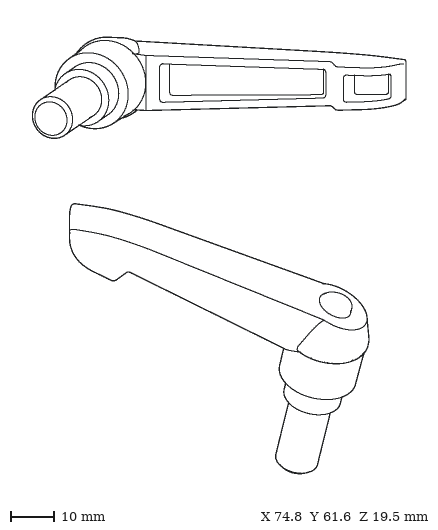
import cadquery as cq
import math


STUD_RADIUS = 5.0
STUD_LENGTH = 20.0
STUD_CHAMFER = 1.0
BUSH_RADIUS = 6.75
BUSH_LENGTH = 6.5
BARREL_BOTTOM_RADIUS = 9.1
BARREL_TOP_RADIUS = 9.3
BARREL_HEIGHT = 10.9
COLLAR_RADIUS = 9.75
COLLAR_FILLET = 0.8
COLLAR_HEIGHT = 1.5
CONE_ANGLE = math.radians(15)
CONE_HEIGHT = 12.0
PIN_RADIUS = 4.0
PIN_TOP = 22.0
PIN_FILLET = 0.9

HANDLE_TIP_X = 65.0
HANDLE_TOP_Y = 35.05
TOP_ANGLE = math.radians(15)
TOP_Y_AT_AXIS = 20.66
CREST_START_X = 44.0
CREST_RADIUS = 100.0
CREST_DROP = 0.55
UNDERSIDE_ANGLE = math.radians(20)
UNDERSIDE_START_X = 9.4
UNDERSIDE_LENGTH = 42.9
HOOK_LENGTH = 5.9
HOOK_RADIUS = 10.8
TIP_FILLET = 1.0
INNER_HOOK_FILLET = 0.7
OUTER_HOOK_FILLET = 1.1

HALF_WIDTH_AT_AXIS = 6.93
HALF_WIDTH_AT_TIP = 4.8
TIP_CORNER_RADIUS = 0.8

POCKET_WALL = 1.95
POCKET_CORNER_RADIUS = 0.7
POCKET_ROOF = 5.3
POCKET_END_TILT = math.radians(30)
MAIN_POCKET_START_X = 12.35
MAIN_POCKET_FLOOR_END_X = 47.0
HOOK_POCKET_START_X = 53.9
HOOK_POCKET_FLOOR_END_X = 61.6


def arc_point(center, radius, angle):
    return (center[0] + radius * math.cos(angle), center[1] + radius * math.sin(angle))


def step_along_underside(point, length):
    """Move from a point parallel to the handle's underside."""
    return arc_point(point, length, UNDERSIDE_ANGLE)


def top_face_y(x):
    return TOP_Y_AT_AXIS + x * math.tan(TOP_ANGLE)


HOOK_CENTER = (HANDLE_TIP_X - HOOK_RADIUS, HANDLE_TOP_Y - TIP_FILLET)
HOOK_ARC_START_ANGLE = UNDERSIDE_ANGLE - math.pi / 2
HOOK_ARC_START = arc_point(HOOK_CENTER, HOOK_RADIUS, HOOK_ARC_START_ANGLE)
UNDERSIDE_START = (UNDERSIDE_START_X, BARREL_HEIGHT)
INNER_HOOK_CORNER = step_along_underside(UNDERSIDE_START, UNDERSIDE_LENGTH)
OUTER_HOOK_CORNER = step_along_underside(HOOK_ARC_START, -HOOK_LENGTH)


def hub_base():
    """Stud, bush and slightly tapered barrel as one turned body."""
    stud_end = -BUSH_LENGTH - STUD_LENGTH
    return (
        cq.Workplane("XY")
        .moveTo(0, stud_end)
        .lineTo(STUD_RADIUS - STUD_CHAMFER, stud_end)
        .lineTo(STUD_RADIUS, stud_end + STUD_CHAMFER)
        .lineTo(STUD_RADIUS, -BUSH_LENGTH)
        .lineTo(BUSH_RADIUS, -BUSH_LENGTH)
        .lineTo(BUSH_RADIUS, 0)
        .lineTo(BARREL_BOTTOM_RADIUS, 0)
        .lineTo(BARREL_TOP_RADIUS, BARREL_HEIGHT)
        .lineTo(0, BARREL_HEIGHT)
        .close()
        .revolve(360, (0, 0), (0, 1))
    )


def conical_head():
    """Rounded collar and cone, trimmed by the handle's sloping top plane."""
    collar_top = BARREL_HEIGHT + COLLAR_HEIGHT
    cone_top = collar_top + CONE_HEIGHT
    cone_top_radius = COLLAR_RADIUS - CONE_HEIGHT * math.tan(CONE_ANGLE)
    fillet_center = (COLLAR_RADIUS - COLLAR_FILLET, BARREL_HEIGHT + COLLAR_FILLET)
    head = (
        cq.Workplane("XY")
        .moveTo(0, BARREL_HEIGHT)
        .lineTo(fillet_center[0], BARREL_HEIGHT)
        .threePointArc(
            arc_point(fillet_center, COLLAR_FILLET, -math.pi / 4),
            (COLLAR_RADIUS, fillet_center[1]),
        )
        .lineTo(COLLAR_RADIUS, collar_top)
        .lineTo(cone_top_radius, cone_top)
        .lineTo(0, cone_top)
        .close()
        .revolve(360, (0, 0), (0, 1))
    )
    reach = 2 * COLLAR_RADIUS
    below_top_plane = (
        cq.Workplane("XY")
        .polyline([(-reach, 0), (reach, 0), (reach, top_face_y(reach)), (-reach, top_face_y(-reach))])
        .close()
        .extrude(reach, both=True)
    )
    return head.intersect(below_top_plane)


def pin():
    """Round screw head standing out of the sloping top face."""
    return (
        cq.Workplane("XZ", origin=(0, BARREL_HEIGHT, 0))
        .circle(PIN_RADIUS)
        .extrude(BARREL_HEIGHT - PIN_TOP)
        .faces(">Y")
        .edges()
        .fillet(PIN_FILLET)
    )


def fillet_upright_edge(body, corner, radius):
    """Round the edge parallel to Z that stands on the given XY corner."""
    margin = 0.1
    far = 2 * COLLAR_RADIUS
    low = (corner[0] - margin, corner[1] - margin, -far)
    high = (corner[0] + margin, corner[1] + margin, far)
    return body.edges("|Z").edges(cq.selectors.BoxSelector(low, high)).fillet(radius)


def handle_side_profile():
    """Side outline of the handle, extruded wider than the finished handle."""
    top_normal = math.pi / 2 + TOP_ANGLE
    crest_start = (CREST_START_X, top_face_y(CREST_START_X))
    crest_center = arc_point(crest_start, -CREST_RADIUS, top_normal)
    crest_join_y = HANDLE_TOP_Y - CREST_DROP
    join_normal = math.pi - math.asin((crest_join_y - crest_center[1]) / CREST_RADIUS)
    crest_join = arc_point(crest_center, CREST_RADIUS, join_normal)
    end_radius = CREST_DROP / (1 - math.sin(join_normal))
    end_center = arc_point(crest_join, -end_radius, join_normal)

    tip_fillet_center = (HANDLE_TIP_X - TIP_FILLET, HANDLE_TOP_Y - TIP_FILLET)
    body = (
        cq.Workplane("XY")
        .moveTo(0, BARREL_HEIGHT)
        .lineTo(*UNDERSIDE_START)
        .lineTo(*INNER_HOOK_CORNER)
        .lineTo(*OUTER_HOOK_CORNER)
        .lineTo(*HOOK_ARC_START)
        .threePointArc(
            arc_point(HOOK_CENTER, HOOK_RADIUS, HOOK_ARC_START_ANGLE / 2),
            (HANDLE_TIP_X, HOOK_CENTER[1]),
        )
        .threePointArc(
            arc_point(tip_fillet_center, TIP_FILLET, math.pi / 4),
            (tip_fillet_center[0], HANDLE_TOP_Y),
        )
        .lineTo(end_center[0], HANDLE_TOP_Y)
        .threePointArc(
            arc_point(end_center, end_radius, (math.pi / 2 + join_normal) / 2),
            crest_join,
        )
        .threePointArc(
            arc_point(crest_center, CREST_RADIUS, (join_normal + top_normal) / 2),
            crest_start,
        )
        .lineTo(0, TOP_Y_AT_AXIS)
        .close()
        .extrude(HALF_WIDTH_AT_AXIS + 1, both=True)
    )
    body = fillet_upright_edge(body, INNER_HOOK_CORNER, INNER_HOOK_FILLET)
    return fillet_upright_edge(body, OUTER_HOOK_CORNER, OUTER_HOOK_FILLET)


def half_width(x):
    """Half the handle's width in Z, tapering from the hub axis to the tip."""
    return HALF_WIDTH_AT_AXIS + (HALF_WIDTH_AT_TIP - HALF_WIDTH_AT_AXIS) * x / HANDLE_TIP_X


def tapered_outline(plane, start, end, start_half, end_half):
    return (
        plane.moveTo(start, -start_half)
        .lineTo(end, -end_half)
        .lineTo(end, end_half)
        .lineTo(start, start_half)
        .close()
    )


def handle_plan():
    """Tapered plan of the handle with rounded corners at the tip."""
    plan = cq.Workplane("XZ")
    outline = tapered_outline(plan, 0, HANDLE_TIP_X, HALF_WIDTH_AT_AXIS, HALF_WIDTH_AT_TIP)
    return outline.extrude(-HANDLE_TOP_Y - 1).edges("|Y and >X").fillet(TIP_CORNER_RADIUS)


def pocket(start_x, floor_end_x, mouth_y):
    """Pocket cutter with a sloping floor, an upright start wall and a tilted end wall."""
    floor_drop = POCKET_ROOF / math.cos(TOP_ANGLE)
    floor_start = (start_x, top_face_y(start_x) - floor_drop)
    floor_end = (floor_end_x, top_face_y(floor_end_x) - floor_drop)
    mouth_end_x = floor_end_x + (floor_end[1] - mouth_y) * math.tan(POCKET_END_TILT)
    profile = (
        cq.Workplane("XY")
        .polyline([(start_x, mouth_y), (mouth_end_x, mouth_y), floor_end, floor_start])
        .close()
        .extrude(HALF_WIDTH_AT_AXIS, both=True)
    )

    start_half = half_width(0) - POCKET_WALL
    end_half = half_width(HANDLE_TIP_X) - POCKET_WALL
    floor_plane = cq.Plane(
        origin=(0, TOP_Y_AT_AXIS - floor_drop, 0),
        xDir=(math.cos(TOP_ANGLE), math.sin(TOP_ANGLE), 0),
        normal=(-math.sin(TOP_ANGLE), math.cos(TOP_ANGLE), 0),
    )
    floor_length = HANDLE_TIP_X / math.cos(TOP_ANGLE)
    outline = tapered_outline(cq.Workplane(floor_plane), 0, floor_length, start_half, end_half)
    cutter = profile.intersect(outline.extrude(-2 * HANDLE_TOP_Y))
    cutter = cutter.faces("<X").edges("not |Z").fillet(POCKET_CORNER_RADIUS)
    return cutter.faces(">X").edges("not |Z").fillet(POCKET_CORNER_RADIUS)


def handle():
    body = handle_side_profile().intersect(handle_plan())
    body = body.cut(pocket(MAIN_POCKET_START_X, MAIN_POCKET_FLOOR_END_X, UNDERSIDE_START[1]))
    return body.cut(pocket(HOOK_POCKET_START_X, HOOK_POCKET_FLOOR_END_X, OUTER_HOOK_CORNER[1]))


result = hub_base().union(conical_head()).union(handle()).union(pin())